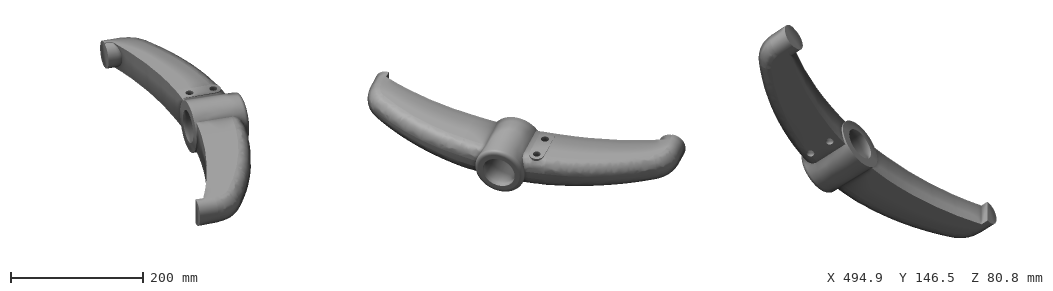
import cadquery as cq
import math

draft_angle = 1.0
draft_slope = math.tan(math.radians(draft_angle))

hub_length = 86.0
hub_back_round = 6.2
collar_radius = 40.4
collar_thickness = 5.0
bore_radius = 25.5

half_span = 247.45
overall_depth = 146.45
tip_y = hub_length - overall_depth
back_apex_y = 79.5
back_radius = 400.0
front_apex_y = 4.0
front_radius = 515.0
shoulder_radius = 50.0
pin_radius = 20.8
pin_x = half_span - pin_radius
pin_top_y = -30.0

level_half_length = 66.0
root_half_height = 26.0
tip_half_height = 21.2
envelope_overhang = 10.0
blank_half_height = 1.5 * root_half_height
tolerance = 0.01
steep_edge_limit = 0.5
back_edge_round = 19.3

pad_x = -50.3
pad_radius = 11.7
pad_top_z = root_half_height + 0.2
pad_depth = 6.0
pad_hole_radius = 6.0
pad_hole_ys = (18.0, 55.8)


def arm_outline():
    """Bow outline: back arc, shoulder arcs, straight tips and front arc."""
    back_center_y = back_apex_y - back_radius
    front_center_y = front_apex_y - front_radius

    shoulder_x = half_span - shoulder_radius
    lean = math.asin(shoulder_x / (back_radius - shoulder_radius))
    shoulder_y = back_center_y + (back_radius - shoulder_radius) * math.cos(lean)
    joint = (back_radius * math.sin(lean), back_center_y + back_radius * math.cos(lean))
    mid_angle = (math.pi / 2 + lean) / 2
    shoulder_mid = (
        shoulder_x + shoulder_radius * math.sin(mid_angle),
        shoulder_y + shoulder_radius * math.cos(mid_angle),
    )
    notch_y = front_center_y + math.sqrt(front_radius**2 - pin_x**2)

    return (
        cq.Workplane("XY")
        .moveTo(-half_span, tip_y)
        .lineTo(-half_span, shoulder_y)
        .threePointArc((-shoulder_mid[0], shoulder_mid[1]), (-joint[0], joint[1]))
        .threePointArc((0, back_apex_y), joint)
        .threePointArc(shoulder_mid, (half_span, shoulder_y))
        .lineTo(half_span, tip_y)
        .lineTo(pin_x, tip_y)
        .lineTo(pin_x, notch_y)
        .threePointArc((0, front_apex_y), (-pin_x, notch_y))
        .lineTo(-pin_x, tip_y)
        .close()
    )


def height_envelope():
    """Drafted prism along Y giving the level middle and the tapered arms."""
    half_height_at_tip_plane = root_half_height - tip_y * draft_slope
    taper_slope = (half_height_at_tip_plane - tip_half_height) / (half_span - level_half_length)
    end_x = half_span + envelope_overhang
    end_half_height = tip_half_height - taper_slope * envelope_overhang
    quarter = [(level_half_length, half_height_at_tip_plane), (end_x, end_half_height)]
    upper = [(-x, z) for x, z in reversed(quarter)] + quarter
    lower = [(x, -z) for x, z in reversed(upper)]
    return (
        cq.Workplane("XZ", origin=(0, tip_y, 0))
        .polyline(upper + lower)
        .close()
        .extrude(tip_y - hub_length, taper=draft_angle)
    )


def is_back_edge(edge):
    """True for the long upper and lower edges along the back arc, shoulders and outer tip sides."""
    middle = edge.positionAt(0.5)
    on_tip_side = abs(middle.x) > half_span - tolerance
    flat_direction = abs(edge.tangentAt(0.5).z) < steep_edge_limit
    back_distance = math.hypot(middle.x, middle.y - back_apex_y + back_radius)
    on_back = abs(middle.x) < half_span and back_distance > back_radius - shoulder_radius / 2
    return flat_direction and (on_tip_side or on_back) and middle.y > tip_y + tolerance


def make_arms():
    blank = arm_outline().extrude(blank_half_height, both=True)
    body = blank.intersect(height_envelope())
    back_edges = [edge for edge in body.edges().vals() if is_back_edge(edge)]
    return body.newObject(back_edges).fillet(back_edge_round)


def make_left_pin():
    return (
        cq.Workplane("XZ", origin=(-pin_x, tip_y, 0))
        .circle(pin_radius)
        .extrude(-(pin_top_y - tip_y))
    )


def make_hub():
    collar = cq.Workplane("XZ").circle(collar_radius).extrude(-collar_thickness)
    barrel = (
        cq.Workplane("XZ", origin=(0, collar_thickness, 0))
        .circle(collar_radius)
        .extrude(collar_thickness - hub_length, taper=draft_angle)
        .faces(">Y")
        .edges()
        .fillet(hub_back_round)
    )
    return barrel.union(collar)


def make_pad():
    """Round-ended pad that fills the rounded back edge and stops at the arm's front face."""
    round_y = pad_hole_ys[-1]
    outline = (
        cq.Workplane("XY", origin=(0, 0, pad_top_z - pad_depth))
        .moveTo(pad_x - pad_radius, 0)
        .lineTo(pad_x - pad_radius, round_y)
        .threePointArc((pad_x, round_y + pad_radius), (pad_x + pad_radius, round_y))
        .lineTo(pad_x + pad_radius, 0)
        .close()
        .extrude(pad_depth)
    )
    arm_prism = arm_outline().extrude(pad_top_z)
    return outline.intersect(arm_prism)


def make_pad_holes():
    return (
        cq.Workplane("XY", origin=(0, 0, -root_half_height))
        .pushPoints([(pad_x, y) for y in pad_hole_ys])
        .circle(pad_hole_radius)
        .extrude(root_half_height + pad_top_z)
    )


bore = cq.Workplane("XZ").circle(bore_radius).extrude(-hub_length)

result = (
    make_arms()
    .union(make_left_pin())
    .union(make_pad())
    .union(make_hub())
    .cut(bore)
    .cut(make_pad_holes())
)